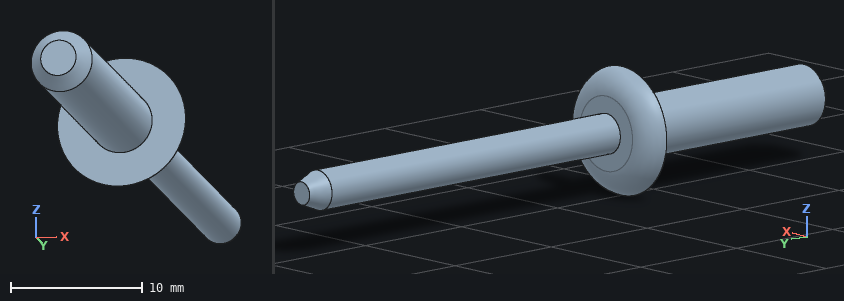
import cadquery as cq

total_length = 53.35
head_diameter = 10.1
head_height = 1.6
head_crown_diameter = 5.85
body_diameter = 4.8
body_length = 20.0
body_chamfer = 1.0
mandrel_diameter = 3.15
tip_diameter = 1.8
tip_length = 1.7

body_end = -total_length / 2
head_base = body_end + body_length
head_top = head_base + head_height
mandrel_end = total_length / 2

edge_width = (head_diameter - head_crown_diameter) / 2
head_edge_radius = (edge_width**2 + head_height**2) / (2 * head_height)

profile = (
    cq.Workplane("XY")
    .moveTo(0, body_end)
    .lineTo(body_diameter / 2 - body_chamfer, body_end)
    .lineTo(body_diameter / 2, body_end + body_chamfer)
    .lineTo(body_diameter / 2, head_base)
    .lineTo(head_diameter / 2, head_base)
    .radiusArc((head_crown_diameter / 2, head_top), -head_edge_radius)
    .lineTo(mandrel_diameter / 2, head_top)
    .lineTo(mandrel_diameter / 2, mandrel_end - tip_length)
    .lineTo(tip_diameter / 2, mandrel_end)
    .lineTo(0, mandrel_end)
    .close()
)

result = profile.revolve(360, (0, 0, 0), (0, 1, 0))